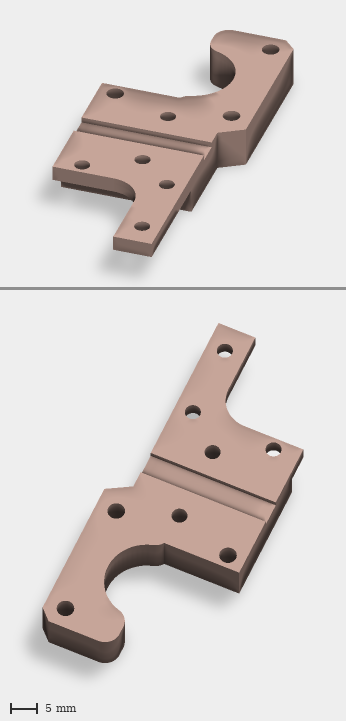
import cadquery as cq
import math


length_x = 30.46
length_y = 71.56
thickness = 8.0

recess_radius = 8.0
hook_radius = 3.0
hook_tip_x = 0.0
corner_chamfer = 2.25

right_x = 15.5
left_x = right_x - length_x
top_y = 15.31
bottom_y = top_y - length_y
shoulder_y = -8.96
body_right_x = 10.78
flank_end_y = -14.92
flank_angle = 30.0
flank_drop = (right_x - body_right_x) * math.tan(math.radians(flank_angle))

tail_thickness = 3.0
block_end_y = -32.92
tail_edge_y = -38.06
leg_width = 7.6
leg_left_x = body_right_x - leg_width
leg_fillet = 6.0

hook_corner_angle = math.radians(135)
leg_corner_angle = math.radians(45)

groove_top_y = -21.0
groove_width = 4.55
groove_depth = 1.1

large_hole_diameter = 3.3
large_hole_offset = 11.5
large_holes = [
    (large_hole_offset, large_hole_offset),
    (large_hole_offset, -large_hole_offset),
    (-large_hole_offset, -large_hole_offset),
]
small_hole_diameter = 3.0
groove_hole_x = 0.3
groove_hole_y = -15.5
groove_hole_spacing = 15.0
leg_hole_x = 7.22
leg_hole_y = -36.8
leg_hole_spacing = 14.5
corner_hole = (-9.86, -35.75)
small_holes = [
    (groove_hole_x, groove_hole_y),
    (groove_hole_x, groove_hole_y - groove_hole_spacing),
    (leg_hole_x, leg_hole_y),
    (leg_hole_x, leg_hole_y - leg_hole_spacing),
    corner_hole,
]


def point_on_circle(center, radius, angle):
    return (center[0] + radius * math.cos(angle), center[1] + radius * math.sin(angle))


def make_plate():
    """Full-thickness plate with the hook, the round recess and the leg."""
    center_distance = recess_radius + hook_radius
    center_x = hook_tip_x + hook_radius
    center_y = math.sqrt(center_distance**2 - center_x**2)
    upper_center = (center_x, center_y)
    lower_center = (center_x, -center_y)
    tangent_angle = math.atan2(center_y, center_x)
    upper_tangent = point_on_circle((0, 0), recess_radius, tangent_angle)
    lower_tangent = point_on_circle((0, 0), recess_radius, -tangent_angle)

    upper_middle_angle = math.pi + tangent_angle / 2
    upper_middle = point_on_circle(upper_center, hook_radius, upper_middle_angle)

    lower_start_angle = math.pi - tangent_angle
    lower_end_angle = math.pi - math.asin((shoulder_y + center_y) / hook_radius)
    lower_middle_angle = (lower_start_angle + lower_end_angle) / 2
    lower_middle = point_on_circle(lower_center, hook_radius, lower_middle_angle)
    lower_end = point_on_circle(lower_center, hook_radius, lower_end_angle)

    corner_center = (hook_tip_x + hook_radius, top_y - hook_radius)
    corner_middle = point_on_circle(corner_center, hook_radius, hook_corner_angle)
    leg_center = (leg_left_x - leg_fillet, tail_edge_y - leg_fillet)
    leg_middle = point_on_circle(leg_center, leg_fillet, leg_corner_angle)

    return (
        cq.Workplane("XY")
        .moveTo(left_x, shoulder_y)
        .lineTo(*lower_end)
        .threePointArc(lower_middle, lower_tangent)
        .threePointArc((recess_radius, 0), upper_tangent)
        .threePointArc(upper_middle, (hook_tip_x, center_y))
        .lineTo(hook_tip_x, top_y - hook_radius)
        .threePointArc(corner_middle, (hook_tip_x + hook_radius, top_y))
        .lineTo(right_x - corner_chamfer, top_y)
        .lineTo(right_x, top_y - corner_chamfer)
        .lineTo(right_x, flank_end_y)
        .lineTo(body_right_x, flank_end_y - flank_drop)
        .lineTo(body_right_x, bottom_y)
        .lineTo(leg_left_x, bottom_y)
        .lineTo(leg_left_x, tail_edge_y - leg_fillet)
        .threePointArc(leg_middle, (leg_left_x - leg_fillet, tail_edge_y))
        .lineTo(left_x, tail_edge_y)
        .close()
        .extrude(thickness)
    )


def make_tail_relief():
    """Volume below the tail that leaves it thinner than the block."""
    return cq.Workplane("XY").box(
        length_x, block_end_y - bottom_y, thickness - tail_thickness, centered=False
    ).translate((left_x, bottom_y, 0))


def make_groove():
    """Shallow channel running the full width of the top face."""
    return cq.Workplane("XY").box(
        length_x, groove_width, groove_depth, centered=False
    ).translate((left_x, groove_top_y - groove_width, thickness - groove_depth))


def make_holes(positions, diameter):
    """Plain cylinders through the full thickness."""
    return cq.Workplane("XY").pushPoints(positions).circle(diameter / 2).extrude(thickness)


result = (
    make_plate()
    .cut(make_tail_relief())
    .cut(make_groove())
    .cut(make_holes(large_holes, large_hole_diameter))
    .cut(make_holes(small_holes, small_hole_diameter))
)